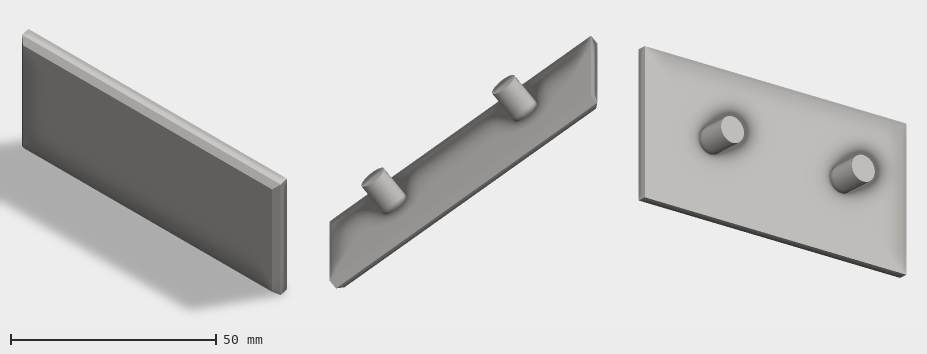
import cadquery as cq

plate_length = 80.0
plate_height = 40.0
plate_thickness = 4.0
front_chamfer = 1.5

pin_diameter = 7.0
pin_length = 9.0
pin_spacing = 40.0


def make_plate():
    """Rectangular plate with its back face on Y = 0 and all front edges chamfered."""
    plate = cq.Workplane("XY").box(
        plate_length, plate_thickness, plate_height, centered=(True, False, True)
    )
    plate = plate.translate((0, -plate_thickness, 0))
    return plate.faces("<Y").edges().chamfer(front_chamfer)


def make_pin(x_position):
    """Round pin standing on the back face, at mid-height of the plate."""
    pin = cq.Workplane("XZ").circle(pin_diameter / 2).extrude(-pin_length)
    return pin.translate((x_position, 0, 0))


result = make_plate()
for pin_x in (-pin_spacing / 2, pin_spacing / 2):
    result = result.union(make_pin(pin_x))